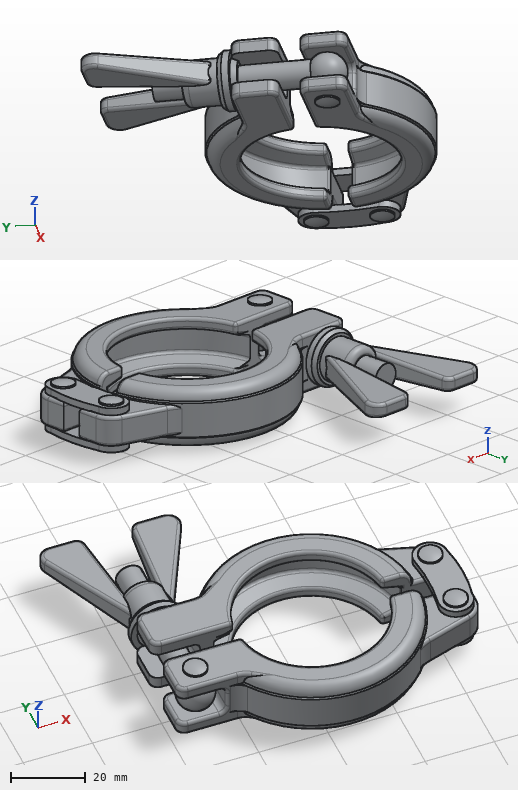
import cadquery as cq
import math

ring_radius = 31.1
bore_radius = 21.6
clamp_half_height = 8.5
ring_rounding = 3.6
band_half_height = 5.4
band_bevel = 0.5
band_rise = 0.4
rim_radius = ring_radius - band_rise
joint_overlap = 0.1
edge_rounding = 1.0
half_gap = 2.9

groove_radius = 27.2
groove_half_height = 3.7
groove_angle = 15

arm_end_x = -44.8
arm_outer_y = 15.8
arm_corner_radius = 2.6
neck_radius = 6.1
neck_turn = 35
slot_half_height = 4.4
slot_end_x = -31.0
slot_corner_radius = 2.0

hinge_x = 38.1
hinge_y = 9.0
ear_half_height = slot_half_height
ear_end_radius = 6.0
ear_slope = 17.2
ear_fillet = 10.7
link_end_radius = 4.9
link_inner_waist = 4.2
link_outer_bulge = 5.8
link_thickness = 2.0
pin_radius = 2.5
head_radius = 3.4
head_rim = 0.5
head_height = 1.1

bolt_x = -37.4
bolt_radius = 3.9
bolt_end_y = 37.9
pivot_y = -(half_gap + arm_outer_y) / 2
eye_radius = 5.5

flange_gap = 0.2
seat_depth = 1.6
seat_top_radius = 6.4
seat_tip_radius = 5.1
flange_radius = 8.2
flange_rim = 2.0
flange_height = 3.4
flange_top_radius = 7.3
barrel_radius = 6.4
nut_height = 13.6
barrel_rounding = 2.0

wing_tip_y = 54.5
wing_tip_x = 22.2
wing_inner_tip_x = 7.1
wing_root_inner = (4.8, 29.5)
wing_root_outer = (6.1, 21.3)
wing_outer_corner = 3.6
wing_inner_corner = 2.5
wing_tip_half_thickness = 2.0
wing_root_half_thickness = 3.6
wing_edge_rounding = 1.0


def block(x0, x1, y0, y1, half_height):
    """Box between two corners, centred on Z = 0."""
    return (
        cq.Workplane("XY", origin=((x0 + x1) / 2, (y0 + y1) / 2, 0))
        .box(x1 - x0, y1 - y0, 2 * half_height)
    )


def point_at(center, radius, degrees):
    """Point on a circle at the given angle from X."""
    angle = math.radians(degrees)
    return (center[0] + radius * math.cos(angle), center[1] + radius * math.sin(angle))


def ring_cutter():
    """Bore and V groove as one revolved cutter."""
    lip_rise = (groove_radius - bore_radius) * math.tan(math.radians(groove_angle))
    lip_z = groove_half_height + lip_rise
    profile = [
        (0, -clamp_half_height),
        (bore_radius, -clamp_half_height),
        (bore_radius, -lip_z),
        (groove_radius, -groove_half_height),
        (groove_radius, groove_half_height),
        (bore_radius, lip_z),
        (bore_radius, clamp_half_height),
        (0, clamp_half_height),
    ]
    return cq.Workplane("XZ").polyline(profile).close().revolve(360, (0, 0, 0), (0, 1, 0))


def round_circles(body, radius):
    """Round every circular edge of the given radius."""
    return body.edges("%CIRCLE").filter(lambda edge: abs(edge.radius() - radius) < 0.01).fillet(edge_rounding)


def half_ring(cutter):
    """Upper half of the grooved ring, with its lips and its end faces rounded."""
    disc = (
        cq.Workplane("XY", origin=(0, 0, -clamp_half_height))
        .circle(rim_radius)
        .extrude(2 * clamp_half_height)
        .edges("%CIRCLE").fillet(ring_rounding)
    )
    band = (
        cq.Workplane("XY", origin=(0, 0, -band_half_height))
        .circle(ring_radius)
        .extrude(2 * band_half_height)
        .edges("%CIRCLE").chamfer(band_bevel)
    )
    ring = disc.union(band).cut(cutter)
    ring = round_circles(ring, bore_radius)
    upper_side = block(-2 * ring_radius, 2 * ring_radius, half_gap, 2 * ring_radius, ring_radius)
    return ring.intersect(upper_side).faces("<Y").edges().fillet(edge_rounding)


def arm():
    """Upper fork arm, whose outer edge curves up and runs tangent into the ring's flat face."""
    landing_radius = rim_radius - ring_rounding + edge_rounding * 0.7
    landing = point_at((0, 0), landing_radius, 90 + neck_turn)
    slope = math.tan(math.radians(neck_turn))
    corner_x = landing[0] - (landing[1] - arm_outer_y) / slope
    tangent = neck_radius * math.tan(math.radians(neck_turn / 2))
    start_x = corner_x - tangent
    center = (start_x, arm_outer_y + neck_radius)
    outline = (
        cq.Workplane("XY", origin=(0, 0, -clamp_half_height))
        .moveTo(arm_end_x, half_gap)
        .lineTo(arm_end_x, arm_outer_y)
        .lineTo(start_x, arm_outer_y)
        .threePointArc(
            point_at(center, neck_radius, -90 + neck_turn / 2),
            point_at(center, neck_radius, -90 + neck_turn),
        )
        .lineTo(*landing)
        .lineTo(-groove_radius + edge_rounding, half_gap)
        .close()
        .extrude(2 * clamp_half_height)
        .edges("|Z and <X").fillet(arm_corner_radius)
        .faces("|Z").edges().fillet(edge_rounding)
    )
    slot = block(2 * arm_end_x, slot_end_x, 0, 2 * arm_outer_y, slot_half_height)
    slot = slot.edges("|Y and >X").fillet(slot_corner_radius)
    return outline.cut(slot)


def soften_slot(one_arm):
    """Round the slot edges that open onto the arm's end, gap and outer faces."""
    around_slot = cq.selectors.BoxSelector(
        (arm_end_x - 1, half_gap - 1, -slot_half_height - 0.1),
        (slot_end_x + 1, arm_outer_y + 1, slot_half_height + 0.1),
    )
    return one_arm.edges(around_slot).edges("not |Y or <X").fillet(edge_rounding)


def neck_web():
    """Concave web that fills the corner between arm and ring below the ring's rounding."""
    center_y = arm_outer_y + neck_radius
    reach = ring_radius - joint_overlap + neck_radius
    center = (-math.sqrt(reach**2 - center_y**2), center_y)
    toward_ring = math.degrees(math.atan2(-center[1], -center[0]))
    return (
        cq.Workplane("XY", origin=(0, 0, -(band_half_height - band_bevel)))
        .moveTo(center[0], arm_outer_y)
        .threePointArc(
            point_at(center, neck_radius, (toward_ring - 90) / 2),
            point_at(center, neck_radius, toward_ring),
        )
        .lineTo(-bore_radius, half_gap)
        .lineTo(center[0], half_gap)
        .close()
        .extrude(2 * (band_half_height - band_bevel))
    )


def ear():
    """Hinge ear: round end on the pin axis, sloped outer edge, concave fillet into the ring."""
    pin = (hinge_x, hinge_y)
    normal = 90 - ear_slope
    edge_start = point_at(pin, ear_end_radius, normal)
    nx = math.cos(math.radians(normal))
    ny = math.sin(math.radians(normal))
    offset = pin[0] * nx + pin[1] * ny + ear_end_radius + ear_fillet
    along = math.sqrt((ring_radius - joint_overlap + ear_fillet) ** 2 - offset**2)
    center = (offset * nx + along * ny, offset * ny - along * nx)
    edge_end = point_at(center, ear_fillet, normal + 180)
    toward_ring = math.degrees(math.atan2(-center[1], -center[0]))
    return (
        cq.Workplane("XY", origin=(0, 0, -ear_half_height))
        .moveTo(hinge_x + ear_end_radius, half_gap)
        .lineTo(hinge_x + ear_end_radius, hinge_y)
        .threePointArc(point_at(pin, ear_end_radius, normal / 2), edge_start)
        .lineTo(*edge_end)
        .threePointArc(
            point_at(center, ear_fillet, (normal - 180 + toward_ring) / 2),
            point_at(center, ear_fillet, toward_ring),
        )
        .lineTo(groove_radius, half_gap)
        .close()
        .extrude(2 * ear_half_height)
        .faces("|Z").edges("not <X").fillet(edge_rounding)
    )


def clamp_half(fork_arm):
    """Upper half of the clamp: half ring, the given fork arm, neck web and hinge ear."""
    cutter = ring_cutter()
    lugs = fork_arm.union(neck_web()).union(ear()).cut(cutter)
    return round_circles(half_ring(cutter).union(lugs), groove_radius)


def headed_pin(x, y, head_base):
    """Pin through the clamp with a domed head at both ends, head_base above and below Z = 0."""
    top = head_base + head_height
    dome_height = head_height - head_rim
    dome_radius = (head_radius**2 + dome_height**2) / (2 * dome_height)
    half_radius = head_radius / 2
    dome_mid_z = top - dome_radius + math.sqrt(dome_radius**2 - half_radius**2)
    upper = (
        cq.Workplane("XZ")
        .lineTo(pin_radius, 0)
        .lineTo(pin_radius, head_base)
        .lineTo(head_radius, head_base)
        .lineTo(head_radius, head_base + head_rim)
        .threePointArc((half_radius, dome_mid_z), (0, top))
        .close()
        .revolve(360, (0, 0, 0), (0, 1, 0))
    )
    return upper.union(upper.mirror("XY")).translate((x, y, 0))


def link_plate():
    """Upper link plate, bent outward between its two round ends."""
    return (
        cq.Workplane("XY", origin=(hinge_x, 0, ear_half_height))
        .moveTo(-link_end_radius, -hinge_y)
        .threePointArc((-link_inner_waist, 0), (-link_end_radius, hinge_y))
        .threePointArc((0, hinge_y + link_end_radius), (link_end_radius, hinge_y))
        .threePointArc((link_outer_bulge, 0), (link_end_radius, -hinge_y))
        .threePointArc((0, -hinge_y - link_end_radius), (-link_end_radius, -hinge_y))
        .close()
        .extrude(link_thickness)
    )


def make_clamp():
    """Both clamp halves joined by the riveted link plates, with the bolt's pivot pin."""
    upper_half = clamp_half(arm())
    lower_half = clamp_half(soften_slot(arm())).mirror("XZ")
    link = link_plate()
    clamp = upper_half.union(lower_half).union(link).union(link.mirror("XY"))
    for side in (1, -1):
        clamp = clamp.union(headed_pin(hinge_x, side * hinge_y, ear_half_height + link_thickness))
    clamp = clamp.union(headed_pin(bolt_x, pivot_y, clamp_half_height))
    return clamp.cut(nut_seat())


def bolt_rod(start_y, end_y):
    """Cylinder on the bolt axis."""
    return cq.Workplane("XZ", origin=(bolt_x, start_y, 0)).circle(bolt_radius).extrude(start_y - end_y)


def make_bolt():
    """Swing bolt: plain shank with a ball eye, flattened to fit the slot and bored for the pin."""
    shank = bolt_rod(pivot_y, bolt_end_y)
    eye = cq.Workplane("XY", origin=(bolt_x, pivot_y, 0)).sphere(eye_radius)
    flats = block(bolt_x - eye_radius, bolt_x + eye_radius, pivot_y - eye_radius, bolt_end_y, slot_half_height)
    pin_hole = (
        cq.Workplane("XY", origin=(bolt_x, pivot_y, -eye_radius))
        .circle(pin_radius)
        .extrude(2 * eye_radius)
    )
    return shank.union(eye).intersect(flats).cut(pin_hole)


def nut_seat():
    """Conical seat below the nut flange, which sits in the mouth of the upper arm's slot."""
    return (
        cq.Workplane("XY")
        .moveTo(0, -seat_depth)
        .lineTo(seat_tip_radius, -seat_depth)
        .lineTo(seat_top_radius, 0)
        .lineTo(0, 0)
        .close()
        .revolve(360, (0, 0, 0), (0, 1, 0))
        .translate((bolt_x, arm_outer_y + flange_gap, 0))
    )


def nut_hub():
    """Flange and barrel of the nut, turned about the bolt axis."""
    return (
        cq.Workplane("XY")
        .lineTo(flange_radius, 0)
        .lineTo(flange_radius, flange_rim)
        .lineTo(flange_top_radius, flange_height)
        .lineTo(barrel_radius, flange_height)
        .lineTo(barrel_radius, nut_height)
        .lineTo(0, nut_height)
        .close()
        .revolve(360, (0, 0, 0), (0, 1, 0))
        .faces(">Y").edges().fillet(barrel_rounding)
        .translate((bolt_x, arm_outer_y + flange_gap, 0))
    )


def wing():
    """Right wing of the nut, thinning toward its tip, with rounded edges."""
    root_y = wing_root_outer[1]
    slab = (
        cq.Workplane("XY", origin=(bolt_x, 0, -wing_root_half_thickness))
        .moveTo(*wing_root_inner)
        .lineTo(wing_inner_tip_x, wing_tip_y)
        .lineTo(wing_tip_x, wing_tip_y)
        .lineTo(*wing_root_outer)
        .close()
        .extrude(2 * wing_root_half_thickness)
        .edges("|Z and >Y").edges("<X").fillet(wing_inner_corner)
        .edges("|Z and >X").fillet(wing_outer_corner)
    )
    taper = (
        cq.Workplane("YZ", origin=(bolt_x, 0, 0))
        .moveTo(root_y, -wing_root_half_thickness)
        .lineTo(wing_tip_y, -wing_tip_half_thickness)
        .lineTo(wing_tip_y, wing_tip_half_thickness)
        .lineTo(root_y, wing_root_half_thickness)
        .close()
        .extrude(2 * wing_tip_x)
    )
    return slab.intersect(taper).faces("<Z or >Z").edges("not <Y").fillet(wing_edge_rounding)


def make_nut():
    """Wing nut on the bolt, with its flange against the upper arm."""
    right_wing = wing()
    left_wing = right_wing.mirror("YZ", (bolt_x, 0, 0))
    hole = bolt_rod(0, bolt_end_y)
    return nut_hub().union(nut_seat()).union(right_wing).union(left_wing).cut(hole)


clamp = make_clamp()
bolt = make_bolt()
nut = make_nut()
result = cq.Compound.makeCompound([clamp.val(), bolt.val(), nut.val()])